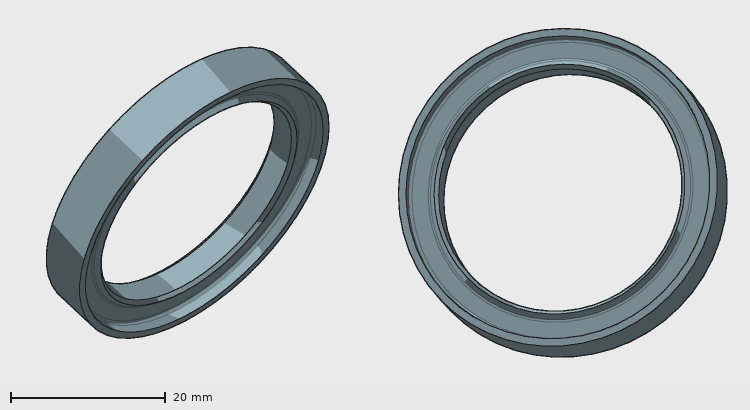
import cadquery as cq
import math

width = 6.7
outer_radius = 42.0 / 2
recess_radius = 40.0 / 2
bore_radius = 32.0 / 2

recess_depth = 1.85
recess_fillet = 0.4

bevel_angle = math.radians(45)
lip_crest_radius = 16.5
lip_foot_radius = 17.45
lip_foot_fillet = 0.4
lip_flank_radius = lip_foot_radius - lip_foot_fillet * math.sin(bevel_angle)
lip_flank_depth = recess_depth - lip_foot_fillet * (1 - math.cos(bevel_angle))
lip_crest_depth = lip_flank_depth - (lip_flank_radius - lip_crest_radius) * math.tan(bevel_angle)
bore_edge_depth = lip_crest_depth + (lip_crest_radius - bore_radius) * math.tan(bevel_angle)


def recess_cutter():
    """Annular recess, with its lip and bore bevel, cut from the end face at X = 0."""
    profile = (
        cq.Workplane("XY")
        .moveTo(0, bore_radius)
        .lineTo(bore_edge_depth, bore_radius)
        .lineTo(lip_crest_depth, lip_crest_radius)
        .lineTo(lip_flank_depth, lip_flank_radius)
        .radiusArc((recess_depth, lip_foot_radius), -lip_foot_fillet)
        .lineTo(recess_depth, recess_radius - recess_fillet)
        .radiusArc((recess_depth - recess_fillet, recess_radius), -recess_fillet)
        .lineTo(0, recess_radius)
        .close()
    )
    return profile.revolve(360, (0, 0, 0), (1, 0, 0))


blank = cq.Workplane("YZ").circle(outer_radius).circle(bore_radius).extrude(width)
near_recess = recess_cutter()
far_recess = near_recess.mirror("YZ", (width / 2, 0, 0))
result = blank.cut(near_recess).cut(far_recess).translate((-width / 2, 0, 0))